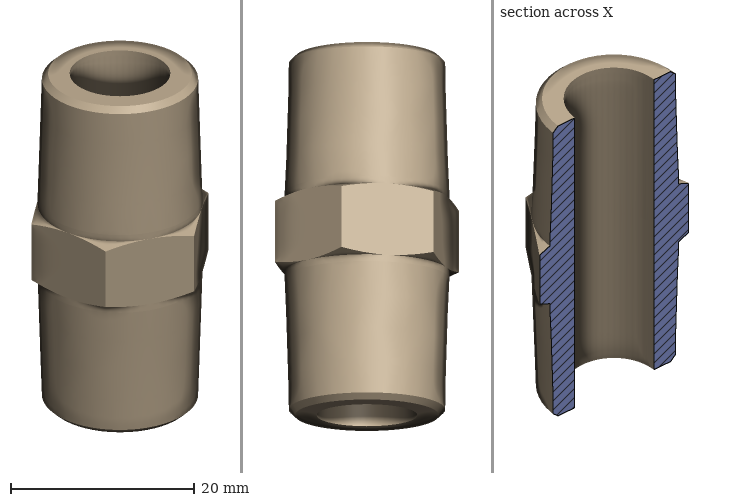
import cadquery as cq
import math

total_length = 40.0
hex_length = 8.0
hex_across_flats = 18.0
collar_length = 0.75
collar_diameter = 18.0
end_diameter = 17.1
end_chamfer_height = 0.65
end_chamfer_width = 0.7
bore_diameter = 11.0
hex_corner_drop = 0.6

hex_across_corners = hex_across_flats / math.cos(math.radians(30))
hex_top = hex_length / 2
collar_top = hex_top + collar_length
end_top = total_length / 2
collar_radius = collar_diameter / 2
end_radius = end_diameter / 2


def revolve_profile(points):
    """Revolve a closed (radius, height) outline about the Z axis."""
    return cq.Workplane("XZ").polyline(points).close().revolve(360, (0, 0), (0, 1))


def mirrored_profile(upper_points):
    """Close an upper-half outline with its reflection across the XY plane."""
    return upper_points + [(radius, -height) for radius, height in reversed(upper_points)]


def make_hexagon():
    """Hexagon with corners on the Y axis and conically bevelled corners."""
    prism = (
        cq.Workplane("XY")
        .polygon(6, hex_across_corners)
        .extrude(hex_length / 2, both=True)
        .rotate((0, 0, 0), (0, 0, 1), 30)
    )
    flat_radius = hex_across_flats / 2
    bevel_width = hex_across_corners / 2 - flat_radius
    bevel_cone = revolve_profile(mirrored_profile([
        (0, hex_top),
        (flat_radius, hex_top),
        (flat_radius + 2 * bevel_width, hex_top - 2 * hex_corner_drop),
    ]))
    return prism.intersect(bevel_cone)


def make_tapered_body():
    """Collars beside the hexagon, then a taper and an end chamfer each way."""
    return revolve_profile(mirrored_profile([
        (0, end_top),
        (end_radius - end_chamfer_width, end_top),
        (end_radius, end_top - end_chamfer_height),
        (collar_radius, collar_top),
        (collar_radius, hex_top),
    ]))


bore = cq.Workplane("XY").circle(bore_diameter / 2).extrude(total_length, both=True)

result = make_tapered_body().union(make_hexagon()).cut(bore)